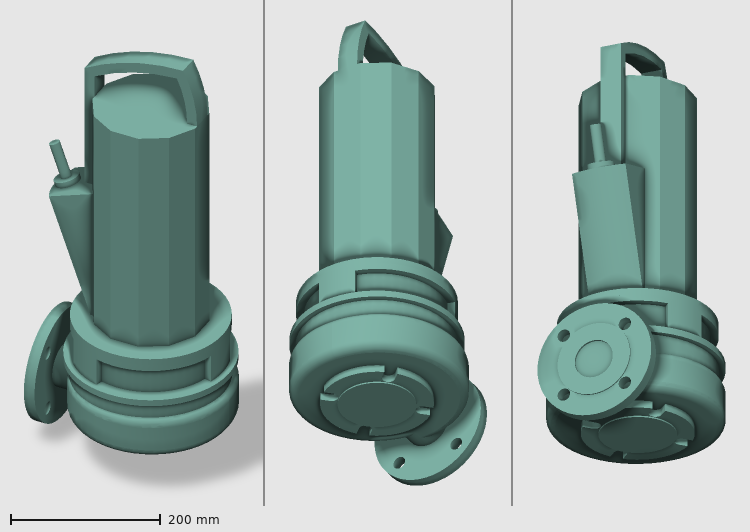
import cadquery as cq
import math

MOTOR_SIDES = 12
MOTOR_FLAT = 77.0
MOTOR_TOP = 456.0

BASE_TOP = 121.5
LANTERN_TOP = 112.0
LANTERN_FLANGE_BOTTOM = 102.5
CASING_TOP = 61.5
CASING_FLANGE_BOTTOM = 52.0
BASE_RADIUS = 108.0
DRUM_RADIUS = 97.5
ARM_COUNT = 3
ARM_ANGLE = 30.0
CASING_FLANGE_RADIUS = 117.0
NECK_RADIUS = 109.0

VOLUTE_START = 110.0
VOLUTE_QUARTER = 116.0
VOLUTE_HALF = 117.0
VOLUTE_THREE_QUARTER = 121.0
VOLUTE_END = 123.5
VOLUTE_TOP = 29.0
VOLUTE_BOTTOM = -31.0
VOLUTE_FILLET = 12.0

PIPE_RADIUS = 31.0
PIPE_START = 54.0
FLANGE_RADIUS = 82.5
FLANGE_BACK = 132.0
FLANGE_FRONT = 148.0
FACE_HEIGHT = 2.0
FACE_RADIUS = 52.5
BORE_RADIUS = 27.5
BORE_DEPTH = 3.0
BOLT_CIRCLE = 125.0
BOLT_HOLE = 18.0
BOLT_COUNT = 4
FIRST_BOLT_ANGLE = 45.0

FOOT_RADIUS = 76.0
FOOT_BOTTOM = -41.5
FOOT_NOTCH = 18.0

HANDLE_WIDTH = 30.0
HANDLE_THICKNESS = 15.0
HANDLE_BOTTOM = 314.5
HANDLE_TOP = 539.0
HANDLE_TOP_RADIUS = 290.0
HANDLE_PEAK_X = 57.0
HANDLE_LEG_RADIUS = 174.0

BOX_LEAN = 20.0
BOX_WIDTH = 77.5
BOX_FACE_RADIUS = 77.5
BOX_EDGE_X = -133.0
BOX_EDGE_Z = 293.0
GLAND_OFFSET = 9.7
GLAND_RADIUS = 18.0
GLAND_HEIGHT = 8.0
CABLE_RADIUS = 7.5
CABLE_TIP = 60.5


def disc(radius, bottom, top):
    return cq.Workplane("XY").workplane(offset=bottom).circle(radius).extrude(top - bottom)


def make_motor():
    corner_diameter = 2 * MOTOR_FLAT / math.cos(math.pi / MOTOR_SIDES)
    blank = cq.Workplane("XY").workplane(offset=BASE_TOP)
    prism = blank.polygon(MOTOR_SIDES, corner_diameter).extrude(MOTOR_TOP - BASE_TOP)
    return prism.rotate((0, 0, 0), (0, 0, 1), 180 / MOTOR_SIDES)


def make_lantern():
    lantern = disc(BASE_RADIUS, CASING_TOP, LANTERN_TOP)
    half = math.radians(180 / ARM_COUNT - ARM_ANGLE / 2)
    beyond = 2 * BASE_RADIUS
    wedge = (
        cq.Workplane("XY").workplane(offset=CASING_TOP)
        .lineTo(beyond * math.cos(half), -beyond * math.sin(half))
        .lineTo(beyond, 0)
        .lineTo(beyond * math.cos(half), beyond * math.sin(half))
        .close().extrude(LANTERN_FLANGE_BOTTOM - CASING_TOP)
    )
    window = wedge.cut(disc(DRUM_RADIUS, CASING_TOP, LANTERN_TOP))
    for i in range(ARM_COUNT):
        angle = (i + 0.5) * 360 / ARM_COUNT
        lantern = lantern.cut(window.rotate((0, 0, 0), (0, 0, 1), angle))
    return lantern


def outlet_cylinder(radius, near, far):
    return cq.Workplane("YZ").workplane(offset=-far).circle(radius).extrude(far - near)


def make_casing():
    casing = (
        cq.Workplane("XY").workplane(offset=VOLUTE_BOTTOM)
        .moveTo(-VOLUTE_START, 0)
        .threePointArc((0, -VOLUTE_QUARTER), (VOLUTE_HALF, 0))
        .threePointArc((0, VOLUTE_THREE_QUARTER), (-VOLUTE_END, 0))
        .close().extrude(VOLUTE_TOP - VOLUTE_BOTTOM)
    )
    casing = casing.faces("<Z or >Z").edges("not %LINE").fillet(VOLUTE_FILLET)
    casing = casing.union(disc(NECK_RADIUS, VOLUTE_BOTTOM / 2, CASING_FLANGE_BOTTOM))
    casing = casing.union(disc(CASING_FLANGE_RADIUS, CASING_FLANGE_BOTTOM, CASING_TOP))

    casing = casing.union(outlet_cylinder(PIPE_RADIUS, PIPE_START, FLANGE_BACK))
    flange = outlet_cylinder(FLANGE_RADIUS, FLANGE_BACK, FLANGE_FRONT)
    bolt_holes = (
        cq.Workplane("YZ").workplane(offset=-FLANGE_FRONT)
        .polarArray(BOLT_CIRCLE / 2, FIRST_BOLT_ANGLE, 360, BOLT_COUNT)
        .circle(BOLT_HOLE / 2).extrude(FLANGE_FRONT - FLANGE_BACK)
    )
    face_end = FLANGE_FRONT + FACE_HEIGHT
    casing = casing.union(flange.cut(bolt_holes))
    casing = casing.union(outlet_cylinder(FACE_RADIUS, FLANGE_FRONT, face_end))
    casing = casing.cut(outlet_cylinder(BORE_RADIUS, face_end - BORE_DEPTH, face_end))

    foot = disc(FOOT_RADIUS, FOOT_BOTTOM, VOLUTE_BOTTOM)
    slot_length = FOOT_RADIUS
    slot = (
        cq.Workplane("XY").workplane(offset=FOOT_BOTTOM)
        .center(BOLT_CIRCLE / 2 + slot_length / 2, 0)
        .slot2D(slot_length + FOOT_NOTCH, FOOT_NOTCH)
        .extrude(VOLUTE_BOTTOM - FOOT_BOTTOM)
    )
    for i in range(BOLT_COUNT):
        foot = foot.cut(slot.rotate((0, 0, 0), (0, 0, 1), FIRST_BOLT_ANGLE + i * 360 / BOLT_COUNT))
    foot = foot.union(disc(FACE_RADIUS, FOOT_BOTTOM - FACE_HEIGHT, FOOT_BOTTOM))
    return casing.union(foot)


def handle_top_z(x, radius):
    center_z = HANDLE_TOP - HANDLE_TOP_RADIUS
    return center_z + math.sqrt(radius ** 2 - (x - HANDLE_PEAK_X) ** 2)


def handle_leg_x(z, radius):
    center_x = MOTOR_FLAT - HANDLE_LEG_RADIUS
    return center_x + math.sqrt(radius ** 2 - (z - MOTOR_TOP) ** 2)


def make_handle():
    outer_x = -MOTOR_FLAT - HANDLE_THICKNESS
    inner_x = -MOTOR_FLAT
    outer_top = HANDLE_TOP_RADIUS
    inner_top = HANDLE_TOP_RADIUS - HANDLE_THICKNESS
    outer_leg = HANDLE_LEG_RADIUS
    inner_leg = HANDLE_LEG_RADIUS - HANDLE_THICKNESS
    outer_corner = (handle_leg_x(HANDLE_TOP, outer_leg), HANDLE_TOP)
    inner_z = HANDLE_TOP - HANDLE_THICKNESS
    inner_corner_x = handle_leg_x(inner_z, inner_leg)
    inner_corner = (inner_corner_x, handle_top_z(inner_corner_x, inner_top))
    leg_mid_z = (MOTOR_TOP + inner_z) / 2

    return (
        cq.Workplane("XZ").workplane(offset=-HANDLE_WIDTH / 2)
        .moveTo(outer_x, HANDLE_BOTTOM)
        .lineTo(outer_x, handle_top_z(outer_x, outer_top))
        .threePointArc((0, handle_top_z(0, outer_top)), outer_corner)
        .threePointArc((handle_leg_x(leg_mid_z, outer_leg), leg_mid_z), (MOTOR_FLAT, MOTOR_TOP))
        .lineTo(MOTOR_FLAT - HANDLE_THICKNESS, MOTOR_TOP)
        .threePointArc((handle_leg_x(leg_mid_z, inner_leg), leg_mid_z), inner_corner)
        .threePointArc((0, handle_top_z(0, inner_top)), (inner_x, handle_top_z(inner_x, inner_top)))
        .lineTo(inner_x, HANDLE_BOTTOM)
        .close().extrude(HANDLE_WIDTH)
    )


def box_top_plane():
    lean = math.radians(BOX_LEAN)
    return cq.Plane(
        origin=(BOX_EDGE_X, 0, BOX_EDGE_Z),
        xDir=(math.cos(lean), 0, math.sin(lean)),
        normal=(-math.sin(lean), 0, math.cos(lean)),
    )


def make_box(motor):
    half = BOX_WIDTH / 2
    crown = BOX_FACE_RADIUS - math.sqrt(BOX_FACE_RADIUS ** 2 - half ** 2)
    depth = -BOX_EDGE_X
    length = 2 * (BOX_EDGE_Z - BASE_TOP)
    box = (
        cq.Workplane(box_top_plane())
        .moveTo(0, -half)
        .threePointArc((-crown, 0), (0, half))
        .lineTo(depth, half).lineTo(depth, -half)
        .close().extrude(-length)
    )
    above_base = (
        cq.Workplane("XY").workplane(offset=BASE_TOP)
        .center(-depth, 0)
        .rect(2 * depth, BOX_WIDTH).extrude(length)
    )
    return box.intersect(above_base).cut(motor)


def make_gland():
    return (
        cq.Workplane(box_top_plane()).center(GLAND_OFFSET, 0)
        .circle(GLAND_RADIUS).extrude(GLAND_HEIGHT)
    )


def make_cable():
    return (
        cq.Workplane(box_top_plane()).workplane(offset=GLAND_HEIGHT).center(GLAND_OFFSET, 0)
        .circle(CABLE_RADIUS).extrude(CABLE_TIP - GLAND_HEIGHT)
    )


motor = make_motor()
motor_base = disc(BASE_RADIUS, LANTERN_TOP, BASE_TOP)
lantern = make_lantern()
casing = make_casing()
handle = make_handle()
terminal_box = make_box(motor)
gland = make_gland()
cable = make_cable()

result = cq.Compound.makeCompound([
    motor.val(),
    motor_base.val(),
    lantern.val(),
    casing.val(),
    handle.val(),
    terminal_box.val(),
    gland.val(),
    cable.val(),
])